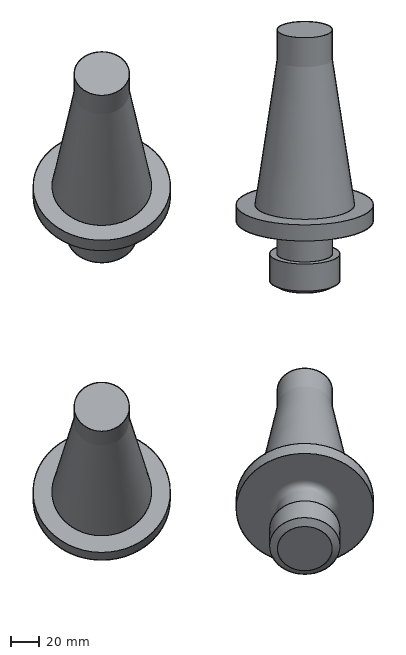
import cadquery as cq

GAUGE_DIAMETER = 69.85
TAPER_RATIO = 7 / 24
GAUGE_TO_FLANGE = 3.2
GAUGE_TO_TIP = 126.8
PILOT_LENGTH = 22.0

FLANGE_DIAMETER = 97.5
FLANGE_THICKNESS = 12.0

NECK_DIAMETER = 39.6
NECK_FILLET = 5.0
COLLAR_DIAMETER = 49.9
COLLAR_HEIGHT = 23.3
COLLAR_CHAMFER_HEIGHT = 3.2
COLLAR_CHAMFER_WIDTH = 5.5

OVERALL_LENGTH = 189.8

tip_z = OVERALL_LENGTH
gauge_z = tip_z - GAUGE_TO_TIP
flange_top_z = gauge_z - GAUGE_TO_FLANGE
flange_bottom_z = flange_top_z - FLANGE_THICKNESS
taper_top_z = tip_z - PILOT_LENGTH

taper_base_diameter = GAUGE_DIAMETER + (gauge_z - flange_top_z) * TAPER_RATIO
pilot_diameter = GAUGE_DIAMETER - (taper_top_z - gauge_z) * TAPER_RATIO


def cylinder(diameter, bottom_z, top_z):
    """Solid cylinder on the Z axis between two heights."""
    return cq.Workplane("XY").workplane(offset=bottom_z).circle(diameter / 2).extrude(top_z - bottom_z)


def make_shank():
    """Cone rising from the flange, topped by the cylindrical pilot."""
    base_radius = taper_base_diameter / 2
    pilot_radius = pilot_diameter / 2
    cone = cq.Workplane(
        cq.Solid.makeCone(
            base_radius,
            pilot_radius,
            taper_top_z - flange_top_z,
            pnt=cq.Vector(0, 0, flange_top_z),
        )
    )
    return cone.union(cylinder(pilot_diameter, taper_top_z, tip_z))


def make_neck():
    """Neck with a concave fillet where it runs into the flange underside."""
    neck_radius = NECK_DIAMETER / 2
    fillet_radius = neck_radius + NECK_FILLET
    return (
        cq.Workplane("XZ")
        .moveTo(0, COLLAR_HEIGHT)
        .lineTo(neck_radius, COLLAR_HEIGHT)
        .lineTo(neck_radius, flange_bottom_z - NECK_FILLET)
        .radiusArc((fillet_radius, flange_bottom_z), NECK_FILLET)
        .lineTo(0, flange_bottom_z)
        .close()
        .revolve(360, (0, 0, 0), (0, 1, 0))
    )


def make_collar():
    """End collar with a shallow chamfer around its lower rim."""
    collar = cylinder(COLLAR_DIAMETER, 0, COLLAR_HEIGHT)
    return collar.faces("<Z").edges().chamfer(COLLAR_CHAMFER_HEIGHT, COLLAR_CHAMFER_WIDTH)


flange = cylinder(FLANGE_DIAMETER, flange_bottom_z, flange_top_z)
result = make_collar().union(make_neck()).union(flange).union(make_shank())